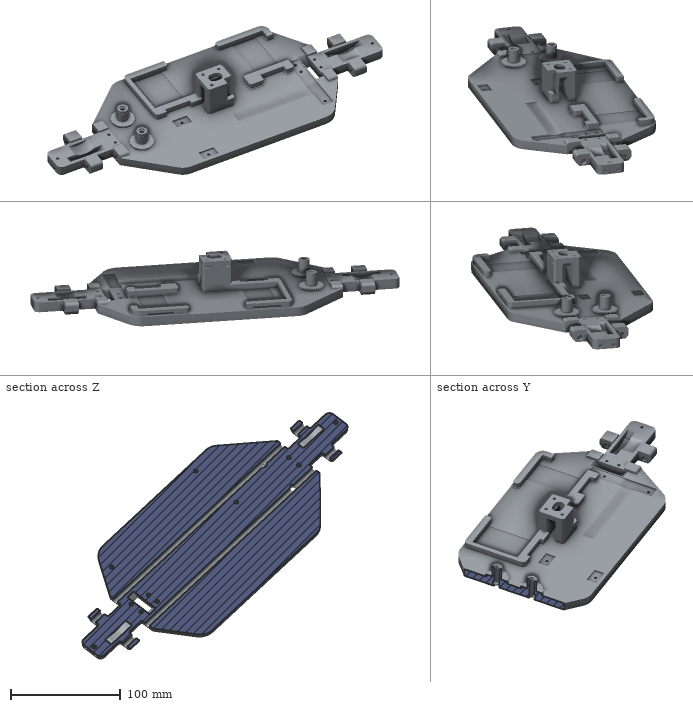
import cadquery as cq
import math

plate_width = 136.0
overall_length = 340.0
overall_height = 38.25
plate_thickness = 8.5
overcut = 1.0
screw_diameter = 3.2

plate_end_half_width = 26.3
plate_end_y = 114.2
rear_shoulder_y = 87.0
front_shoulder_y = -69.0
rear_shoulder_radius = 17.0
front_shoulder_radius = 15.0

arm_width = 26.0
arm_height = 9.4
arm_end_radius = 5.0
arm_inner_y = 104.2
lug_height = 11.25
outer_lug_y = (131.7, 144.2)
inner_lug_y = (arm_inner_y, plate_end_y)
lug_round = 2.8
lug_chamfer_x = 2.8
lug_chamfer_z = 3.4
arm_lug_fillet = 1.5
arm_tip_screw_y = 164.7
arm_root_screw_y = 107.6
arm_screw_x = 6.15
arm_end_hole_z = 3.0
arm_end_hole_depth = 8.0
pivot_x = 19.5
pivot_z = 3.9
pivot_diameter = 5.2

differential_y = 138.2
differential_axis_z = arm_height + 15.0
gear_chord = 37.4
barrel_chord = 19.6
recess_half_width = 9.8
gear_recess_floor = 4.0
gear_scoop_chord = 20.6
rear_gear_width = 7.5
front_gear_width = 6.5

steering_slot_y = (96.0, arm_inner_y)
steering_slot_half_top = 17.1
steering_slot_half_bottom = 8.6
strap_x = (-14.9, 52.2)
strap_y = (83.7, 95.0)
strap_ramp_x = (17.0, 22.0)
strap_left_depth = 1.0
strap_right_depth = 1.9
strap_screws = ((-9.4, 89.5), (0.9, 89.5), (46.4, 89.5))
trough_x = (22.0, 34.6)
trough_end_y = 5.9
trough_depth = 1.2

holder_top = 14.35
rail_outer_x = -66.4
rail_inner_x = -59.6
rear_rail_end_y = 36.4
rail_corner_radius = 8.0
side_rail_x = -12.9
side_rail_waist_x = -6.8
rear_strap_y = (51.0, 75.7)
front_strap_y = (-48.5, -22.6)
strap_floor_depth = 0.6
scoop_depth = 2.5
scoop_radius = 4.0
skirt_offset = 1.0
skirt_corner_radius = 9.5
skirt_bottom = 2.2
skirt_top = 9.1

servo_pad_width = 9.8
servo_pad_x = (9.3, 59.6)
servo_pad_y = (-47.6, -32.0)
servo_screw_y = -39.6
servo_pad_depth = 1.8

gear_x = 18.0
gear_y = -86.5
gear_top = 11.2
gear_outer_diameter = 23.4
gear_root_diameter = 21.4
gear_bottom_diameter = 21.0
gear_rim = 0.9
gear_teeth = 36
hub_diameter = 10.1
hub_bore = 4.9
hub_top = 23.6
crown_bottom = 20.5
crown_diameter = 9.8
crown_recess_diameter = 6.6
crown_recess_depth = 1.5

tower_half_x = 13.0
tower_y = (-13.8, 13.8)
tower_chamfer_x = 2.2
tower_chamfer_y = 1.4
tunnel_half_width = 4.6
tunnel_top = 33.0
tunnel_corner_radius = 1.0
shaft_slot_width = 10.0
shaft_slot_length = 13.6
shaft_slot_y = 0.5
shaft_slot_taper = 2.8
tower_screw_x = 8.3
tower_screw_y = (-7.9, 8.5)
nut_slot_width = 6.2
nut_slot_z = (31.9, 33.7)
nut_slot_reach = 8.0
tower_notch_x = 5.7
tower_notch_y = 5.9
tower_notch_floor = 15.0
tower_notch_ramp_width = 3.0
tower_notch_ramp_rise = 3.0
rail_clearance_y = -11.2
rail_clearance_top = 16.4


def box(x_range, y_range, z_range):
    """Axis-aligned block spanning the given ranges."""
    sizes = [high - low for low, high in (x_range, y_range, z_range)]
    return cq.Workplane("XY").box(*sizes, centered=False).translate((x_range[0], y_range[0], z_range[0]))


def upright(x, y, diameter, z_range):
    """Vertical cylinder."""
    low, high = z_range
    return cq.Workplane("XY", origin=(x, y, low)).circle(diameter / 2).extrude(high - low)


def screw_hole(x, y):
    """Cutter for a vertical screw hole through everything."""
    return upright(x, y, screw_diameter, (-overcut, overall_height + overcut))


def differential_cylinder(x_range, chord, level):
    """Cylinder about the differential axis with the given chord at one height."""
    low, high = x_range
    radius = math.hypot(differential_axis_z - level, chord / 2)
    axis_start = (low, differential_y, differential_axis_z)
    return cq.Workplane("YZ", origin=axis_start).circle(radius).extrude(high - low)


def chassis_plate():
    half = plate_width / 2
    outline = [
        (-plate_end_half_width, plate_end_y),
        (plate_end_half_width, plate_end_y),
        (half, rear_shoulder_y),
        (half, front_shoulder_y),
        (plate_end_half_width, -plate_end_y),
        (-plate_end_half_width, -plate_end_y),
        (-half, front_shoulder_y),
        (-half, rear_shoulder_y),
    ]
    plate = cq.Workplane("XY").polyline(outline).close().extrude(plate_thickness)
    shoulders = (
        (rear_shoulder_y, rear_shoulder_radius),
        (front_shoulder_y, front_shoulder_radius),
    )
    for shoulder_y, radius in shoulders:
        corners = cq.selectors.BoxSelector(
            (-half - overcut, shoulder_y - overcut, 0),
            (half + overcut, shoulder_y + overcut, plate_thickness),
        )
        plate = plate.edges(corners).fillet(radius)
    return plate


def lug_pair(y_range):
    """Pivot lugs on both sides of an arm, rounded above and chamfered below."""
    outer = plate_end_half_width
    profile = (
        cq.Workplane("XZ", origin=(0, y_range[1], 0))
        .moveTo(0, 0)
        .lineTo(outer - lug_chamfer_x, 0)
        .lineTo(outer, lug_chamfer_z)
        .lineTo(outer, lug_height - lug_round)
        .radiusArc((outer - lug_round, lug_height), -lug_round)
        .lineTo(arm_width / 2, lug_height)
        .lineTo(arm_width / 2, arm_height)
        .lineTo(0, arm_height)
        .close()
    )
    lug = profile.extrude(y_range[1] - y_range[0])
    return lug.union(lug.mirror("YZ"))


def rear_arm(gear_width):
    """Arm at the +Y end with its lugs, end holes and differential recess."""
    half = arm_width / 2
    tip_y = overall_length / 2
    arm = box((-half, half), (arm_inner_y, tip_y), (0, arm_height))
    arm = arm.edges("|Z and >Y").fillet(arm_end_radius)
    arm = arm.union(lug_pair(outer_lug_y)).union(lug_pair(inner_lug_y))
    for side in (-1, 1):
        for y, away in ((outer_lug_y[0], -1), (outer_lug_y[1], 1), (inner_lug_y[1], 1)):
            corner = (
                cq.Workplane("XY", origin=(side * half, y, 0))
                .lineTo(side * arm_lug_fillet, 0)
                .radiusArc((0, away * arm_lug_fillet), side * away * arm_lug_fillet)
                .close()
                .extrude(arm_height)
            )
            arm = arm.union(corner)
        end_hole = (
            cq.Workplane("XZ", origin=(side * arm_screw_x, tip_y, arm_end_hole_z))
            .circle(screw_diameter / 2)
            .extrude(arm_end_hole_depth)
        )
        arm = arm.cut(end_hole)

    gear_span = (-recess_half_width, gear_width - recess_half_width)
    barrel_span = (-recess_half_width, recess_half_width)
    above_floor = box(gear_span, (arm_inner_y, tip_y), (gear_recess_floor, arm_height))
    gear_recess = differential_cylinder(gear_span, gear_chord, arm_height).intersect(above_floor)
    gear_scoop = differential_cylinder(gear_span, gear_scoop_chord, gear_recess_floor)
    barrel_recess = differential_cylinder(barrel_span, barrel_chord, arm_height)
    return arm.cut(gear_recess).cut(gear_scoop).cut(barrel_recess)


def arm_screw_holes():
    holes = screw_hole(0, arm_tip_screw_y)
    for side in (-1, 1):
        holes = holes.union(screw_hole(side * arm_screw_x, arm_root_screw_y))
    return holes


def pivot_holes():
    """Long pivot pin holes running the whole length of the chassis."""
    return (
        cq.Workplane("XZ", origin=(0, overall_length / 2, pivot_z))
        .pushPoints([(-pivot_x, 0), (pivot_x, 0)])
        .circle(pivot_diameter / 2)
        .extrude(overall_length)
    )


def steering_slot():
    """Opening behind the rear arm that narrows towards the underside."""
    low, high = steering_slot_y
    return (
        cq.Workplane("XZ", origin=(0, high, 0))
        .polyline([
            (-steering_slot_half_bottom, 0),
            (steering_slot_half_bottom, 0),
            (steering_slot_half_top, plate_thickness),
            (-steering_slot_half_top, plate_thickness),
        ])
        .close()
        .extrude(high - low)
    )


def strap_recess():
    """Shallow cross recess that ramps down towards +X."""
    left_floor = plate_thickness - strap_left_depth
    right_floor = plate_thickness - strap_right_depth
    low, high = strap_y
    recess = (
        cq.Workplane("XZ", origin=(0, high, 0))
        .polyline([
            (strap_x[0], plate_thickness),
            (strap_x[0], left_floor),
            (strap_ramp_x[0], left_floor),
            (strap_ramp_x[1], right_floor),
            (strap_x[1], right_floor),
            (strap_x[1], plate_thickness),
        ])
        .close()
        .extrude(high - low)
    )
    for x, y in strap_screws:
        recess = recess.union(screw_hole(x, y))
    return recess


def trough():
    """Shallow round-bottomed trough running along Y from the strap recess."""
    middle = sum(trough_x) / 2
    return (
        cq.Workplane("XZ", origin=(0, strap_y[0], 0))
        .moveTo(trough_x[0], plate_thickness)
        .threePointArc((middle, plate_thickness - trough_depth), (trough_x[1], plate_thickness))
        .close()
        .extrude(strap_y[0] - trough_end_y)
    )


def servo_recess(x):
    pad = box(
        (x - servo_pad_width / 2, x + servo_pad_width / 2),
        servo_pad_y,
        (plate_thickness - servo_pad_depth, plate_thickness),
    )
    return pad.union(screw_hole(x, servo_screw_y))


def raised(outline, bottom, top):
    return outline.extrude(top - bottom).translate((0, 0, bottom))


def outer_rail_outline(left, grow, corner_radius):
    """Rear outer battery rail with a foot turned inwards.

    The outer face stands at X = left and the ends are grown by an offset.
    """
    foot_top = 89.1
    foot_x = -50.4
    foot_y = 82.9
    tip_radius = 3.0
    right = rail_inner_x
    top = foot_top + grow
    foot_bottom = foot_y - grow
    bottom = rear_rail_end_y - grow
    return (
        cq.Workplane("XY")
        .moveTo(right, bottom + tip_radius)
        .lineTo(right, foot_bottom)
        .lineTo(foot_x, foot_bottom)
        .lineTo(foot_x, top)
        .lineTo(left + corner_radius, top)
        .radiusArc((left, top - corner_radius), -corner_radius)
        .lineTo(left, bottom + tip_radius)
        .radiusArc((left + tip_radius, bottom), -tip_radius)
        .lineTo(right - tip_radius, bottom)
        .radiusArc((right, bottom + tip_radius), -tip_radius)
        .close()
    )


def inner_rail(grow, bottom, top):
    """Rear inner battery rail with a pad at each end, grown by an offset."""
    pad_radius = 2.0
    rear_pad_x = (side_rail_x, -1.4)
    rear_pad_y = (rear_strap_y[1], strap_y[0])
    front_pad_x = (side_rail_x, 1.1)
    front_pad_y = (rear_rail_end_y, rear_strap_y[0])
    pads = (
        (rear_pad_x, rear_pad_y, "|Z and >X"),
        (front_pad_x, front_pad_y, "|Z and (>X or <Y)"),
    )
    rail = box((side_rail_x, side_rail_waist_x), rear_strap_y, (bottom, top))
    for (x_low, x_high), (y_low, y_high), round_corners in pads:
        pad = box((x_low - grow, x_high + grow), (y_low - grow, y_high), (bottom, top))
        rail = rail.union(pad.edges(round_corners).fillet(pad_radius))
    return rail


def scoop(y_range):
    """Strap clearance hollowed into the outer face of an outer rail."""
    return (
        cq.Workplane("XZ", origin=(0, y_range[1], 0))
        .moveTo(rail_outer_x, holder_top)
        .radiusArc((rail_outer_x + scoop_depth, skirt_top), -scoop_radius)
        .lineTo(rail_outer_x - overcut, skirt_top)
        .lineTo(rail_outer_x - overcut, holder_top)
        .close()
        .extrude(y_range[1] - y_range[0])
    )


def rear_holder():
    holder = raised(outer_rail_outline(rail_outer_x, 0, rail_corner_radius), plate_thickness, holder_top)
    holder = holder.union(inner_rail(0, plate_thickness, holder_top))
    holder = holder.union(inner_rail(skirt_offset, plate_thickness, skirt_top))
    skirt = outer_rail_outline(-plate_width / 2, skirt_offset, skirt_corner_radius)
    holder = holder.union(raised(skirt, skirt_bottom, skirt_top))
    return holder.cut(scoop(rear_strap_y))


def front_holder():
    """U-shaped battery holder; its inner rail reaches under the tower."""
    base_y = -59.6
    base_inner_y = -55.6
    outer_rail_end_y = -16.5
    inner_rail_right = -3.3
    corner_radius = 4.0
    rail_tip_radius = 1.5
    heights = (plate_thickness, holder_top)
    holder = box((rail_outer_x, inner_rail_right), (base_y, rail_clearance_y), heights)
    holder = holder.edges("|Z and <Y").fillet(corner_radius)
    bay = box((rail_inner_x, side_rail_x), (base_inner_y, 0), heights)
    outer_trim = box((rail_outer_x, rail_inner_x), (outer_rail_end_y, 0), heights)
    waist = box((side_rail_waist_x, inner_rail_right), front_strap_y, heights)
    holder = holder.cut(bay).cut(outer_trim)
    rail_tip = cq.selectors.NearestToPointSelector((rail_inner_x, outer_rail_end_y, sum(heights) / 2))
    holder = holder.edges("|Z").edges(rail_tip).fillet(rail_tip_radius)
    return holder.cut(waist).cut(scoop(front_strap_y))


def strap_floor(y_range):
    """Slightly sunken strip where a battery strap crosses the plate."""
    return box((rail_inner_x, side_rail_x), y_range, (plate_thickness - strap_floor_depth, plate_thickness))


def steering_gear(x):
    """Bevelled gear with a hollow hub that ends in a slightly narrower crown."""
    disc_height = gear_top - plate_thickness
    tooth_angle = 2 * math.pi / gear_teeth
    outline = []
    for tooth in range(gear_teeth):
        for step, diameter in ((0, gear_outer_diameter), (0.5, gear_root_diameter)):
            angle = (tooth + step) * tooth_angle
            outline.append((diameter / 2 * math.cos(angle), diameter / 2 * math.sin(angle)))
    gear = cq.Workplane("XY").polyline(outline).close().extrude(disc_height)
    bevel = (
        cq.Workplane("XZ")
        .polyline([
            (0, 0),
            (gear_bottom_diameter / 2, 0),
            (gear_outer_diameter / 2, disc_height - gear_rim),
            (gear_outer_diameter / 2, disc_height),
            (0, disc_height),
        ])
        .close()
        .revolve(360, (0, 0, 0), (0, 1, 0))
    )
    gear = gear.intersect(bevel).translate((x, gear_y, plate_thickness))
    gear = gear.union(upright(x, gear_y, hub_diameter, (plate_thickness, crown_bottom)))
    gear = gear.union(upright(x, gear_y, crown_diameter, (crown_bottom, hub_top)))
    return gear.cut(upright(x, gear_y, crown_recess_diameter, (hub_top - crown_recess_depth, hub_top)))


def tower():
    """Motor tower with a tunnel along Y, a shaft slot and trapped-nut slots."""
    y_low, y_high = tower_y
    inner_x = tower_half_x - tower_chamfer_x
    outline = [
        (-inner_x, y_low), (inner_x, y_low),
        (tower_half_x, y_low + tower_chamfer_y), (tower_half_x, y_high - tower_chamfer_y),
        (inner_x, y_high), (-inner_x, y_high),
        (-tower_half_x, y_high - tower_chamfer_y), (-tower_half_x, y_low + tower_chamfer_y),
    ]
    body = raised(cq.Workplane("XY").polyline(outline).close(), plate_thickness, overall_height)
    tunnel = box((-tunnel_half_width, tunnel_half_width), tower_y, (plate_thickness, tunnel_top))
    body = body.cut(tunnel.edges("|Y and >Z").fillet(tunnel_corner_radius))
    shaft_slot = (
        cq.Workplane("XY", origin=(0, shaft_slot_y, tunnel_top))
        .slot2D(shaft_slot_length, shaft_slot_width, 90)
        .extrude(overall_height - tunnel_top)
    )
    slot_side = shaft_slot_width / 2
    slot_taper = (
        cq.Workplane("XZ", origin=(0, y_high, 0))
        .polyline([
            (slot_side - shaft_slot_taper, tunnel_top),
            (slot_side, tunnel_top),
            (slot_side, overall_height),
        ])
        .close()
        .extrude(y_high - y_low)
    )
    body = body.cut(shaft_slot.cut(slot_taper))

    for y in tower_screw_y:
        nut_slot = box(
            (-tower_half_x, -tower_half_x + nut_slot_reach),
            (y - nut_slot_width / 2, y + nut_slot_width / 2),
            nut_slot_z,
        )
        body = body.cut(nut_slot)
    screw_points = [(-tower_screw_x, y) for y in tower_screw_y] + [(tower_screw_x, tower_screw_y[0])]
    for x, y in screw_points:
        body = body.cut(upright(x, y, screw_diameter, (nut_slot_z[0], overall_height)))

    ramp_top = tower_notch_floor + tower_notch_ramp_rise
    notch = (
        cq.Workplane("XZ", origin=(0, y_high, 0))
        .polyline([
            (tower_notch_x, tower_notch_floor),
            (tower_notch_x + tower_notch_ramp_width, ramp_top),
            (tower_half_x, ramp_top),
            (tower_half_x, overall_height),
            (tower_notch_x, overall_height),
        ])
        .close()
        .extrude(y_high - tower_notch_y)
    )
    rail_clearance = box(
        (-tower_half_x, -tunnel_half_width),
        (y_low, rail_clearance_y),
        (plate_thickness, rail_clearance_top),
    )
    return body.cut(notch).cut(rail_clearance)


front_arm = rear_arm(front_gear_width).rotate((0, 0, 0), (0, 0, 1), 180)
chassis = chassis_plate().union(rear_arm(rear_gear_width)).union(front_arm)
rear_screws = arm_screw_holes()
chassis = chassis.cut(rear_screws).cut(rear_screws.rotate((0, 0, 0), (0, 0, 1), 180))
chassis = chassis.cut(steering_slot()).cut(strap_recess()).cut(trough())
for strap_range in (rear_strap_y, front_strap_y):
    chassis = chassis.cut(strap_floor(strap_range))
for pad_x in servo_pad_x:
    chassis = chassis.cut(servo_recess(pad_x))

chassis = chassis.union(rear_holder()).union(front_holder()).union(tower())
for hub_x in (-gear_x, gear_x):
    chassis = chassis.union(steering_gear(hub_x))
    chassis = chassis.cut(upright(hub_x, gear_y, hub_bore, (0, hub_top)))

result = chassis.cut(pivot_holes())